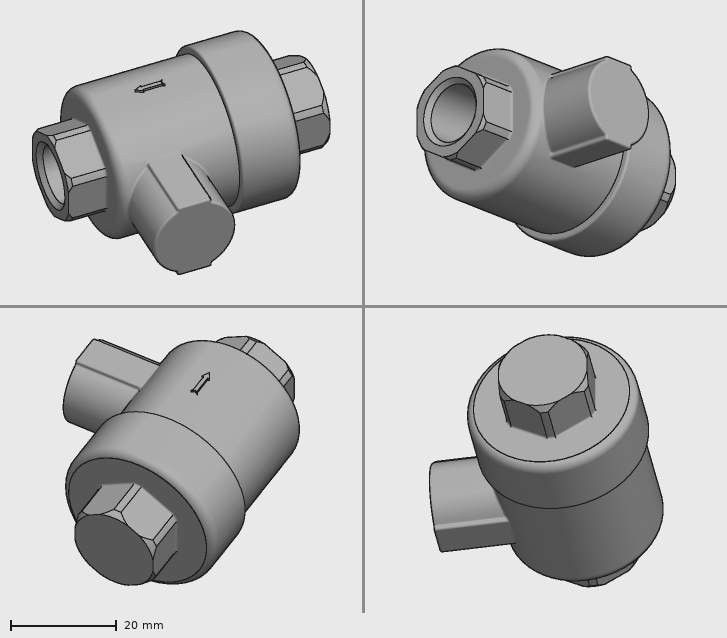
import cadquery as cq
import math

total_length = 54.0
front_hex_length = 8.0
rear_hex_length = 9.0
cap_length = 12.55
cap_diameter = 33.0
body_diameter = 30.0
end_round = 2.0
edge_round = 0.5

hex_flats = 17.0
hex_corner_diameter = 18.8
hex_chamfer_angle = 30.0
front_hex_chamfer = 0.85
rear_hex_chamfer = 1.35

bore_mouth_diameter = 13.5
bore_diameter = 11.5
bore_floor_diameter = 8.6
bore_depth = 11.9
bore_shoulder_angle = 30.0

port_reach = 27.0
port_offset = 10.0
port_diameter = 16.8
pad_height = 8.55
pad_width = 7.0

arrow_height = 0.5
arrow_tip_offset = 9.5
arrow_head_length = 1.45
arrow_total_length = 5.85
arrow_head_width = 1.55
arrow_shaft_width = 0.85
arrow_tail_width = 1.4
arrow_tail_notch = 0.45

body_radius = body_diameter / 2
front_face = -total_length / 2
rear_face = total_length / 2
body_front = front_face + front_hex_length
cap_rear = rear_face - rear_hex_length
cap_front = cap_rear - cap_length
port_y = body_front + port_offset

box_slack = 0.005


def cylinder_y(diameter, start, end):
    """Cylinder on the main axis between two Y positions."""
    plane = cq.Workplane("XZ", origin=(0, start, 0))
    return plane.circle(diameter / 2).extrude(start - end)


def make_shell():
    """Round body and the wider cap behind it."""
    body = cylinder_y(body_diameter, body_front, cap_rear)
    body = body.faces("<Y").edges().fillet(end_round)
    cap = cylinder_y(cap_diameter, cap_front, cap_rear)
    cap = cap.faces(">Y").edges().fillet(end_round)
    cap = cap.faces("<Y").edges().fillet(edge_round)
    return body.union(cap)


def make_hex(base, length, direction, chamfer):
    """Hexagon with corners on Z, trimmed by a turned profile, growing from base along direction * Y.

    It starts one end_round inside the part so that the two overlap.
    """
    corner_radius = hex_corner_diameter / 2
    end_radius = corner_radius - chamfer * math.tan(math.radians(hex_chamfer_angle))
    end = base + direction * length
    root = base - direction * end_round
    turned = (
        cq.Workplane("XY")
        .moveTo(0, root)
        .lineTo(corner_radius, root)
        .lineTo(corner_radius, end - direction * chamfer)
        .lineTo(end_radius, end)
        .lineTo(0, end)
        .close()
        .revolve(360, (0, 0, 0), (0, 1, 0))
    )
    prism = (
        cq.Workplane("XZ", origin=(0, root, 0))
        .transformed(rotate=(0, 0, 90))
        .polygon(6, hex_flats / math.cos(math.pi / 6))
        .extrude(root - end)
    )
    return prism.intersect(turned)


def make_port():
    """Cylinder along +X with a flat pad on its top and bottom."""
    plane = cq.Workplane("YZ", origin=(0, port_y, 0))
    barrel = plane.circle(port_diameter / 2).extrude(port_reach)
    pads = plane.rect(pad_width, 2 * pad_height).extrude(port_reach)
    port = barrel.union(pads)
    port = port.edges("|X").fillet(edge_round)
    return port.faces(">X").edges().fillet(edge_round)


def make_bore():
    """Countersunk blind bore with a conical shoulder at its floor."""
    mouth_chamfer = (bore_mouth_diameter - bore_diameter) / 2
    shoulder_width = (bore_diameter - bore_floor_diameter) / 2
    shoulder_end = front_face + bore_depth + shoulder_width * math.tan(math.radians(bore_shoulder_angle))
    return (
        cq.Workplane("XY")
        .moveTo(0, front_face)
        .lineTo(bore_mouth_diameter / 2, front_face)
        .lineTo(bore_diameter / 2, front_face + mouth_chamfer)
        .lineTo(bore_diameter / 2, front_face + bore_depth)
        .lineTo(bore_floor_diameter / 2, shoulder_end)
        .lineTo(0, shoulder_end)
        .close()
        .revolve(360, (0, 0, 0), (0, 1, 0))
    )


def make_arrow():
    """Flow arrow pointing to the front, with a notched tail, set into the body by its own height."""
    tip = body_front + arrow_tip_offset
    neck = tip + arrow_head_length
    tail = tip + arrow_total_length
    right_side = [
        (arrow_head_width / 2, neck),
        (arrow_shaft_width / 2, neck),
        (arrow_shaft_width / 2, tail - arrow_tail_notch),
        (arrow_tail_width / 2, tail),
    ]
    left_side = [(-x, y) for x, y in reversed(right_side)]
    outline = [(0, tip)] + right_side + [(0, tail - arrow_tail_notch)] + left_side
    base = body_radius - arrow_height
    return cq.Workplane("XY", origin=(0, 0, base)).polyline(outline).close().extrude(2 * arrow_height)


def within(x_range, y_range, z_reach):
    """Selector for edges lying wholly inside a box that is symmetric in Z."""
    return cq.selectors.BoxSelector(
        (x_range[0] - box_slack, y_range[0] - box_slack, -z_reach - box_slack),
        (x_range[1] + box_slack, y_range[1] + box_slack, z_reach + box_slack),
        boundingbox=True,
    )


def port_root():
    """Edges where the port meets the body."""
    innermost = math.sqrt(body_radius**2 - pad_height**2)
    y_range = (port_y - port_diameter / 2, port_y + port_diameter / 2)
    return within((innermost, body_radius), y_range, pad_height)


def hex_root(y):
    """Edges where a hexagon stands on a flat end at Y = y."""
    reach = hex_corner_diameter / 2
    return within((-reach, reach), (y, y), reach)


result = make_shell().union(make_port())
result = result.edges(port_root()).fillet(edge_round)

result = result.union(make_hex(body_front, front_hex_length, -1, front_hex_chamfer))
result = result.union(make_hex(cap_rear, rear_hex_length, 1, rear_hex_chamfer))
for root_face in (body_front, cap_rear):
    result = result.edges(hex_root(root_face)).fillet(edge_round)

result = result.union(make_arrow()).cut(make_bore())